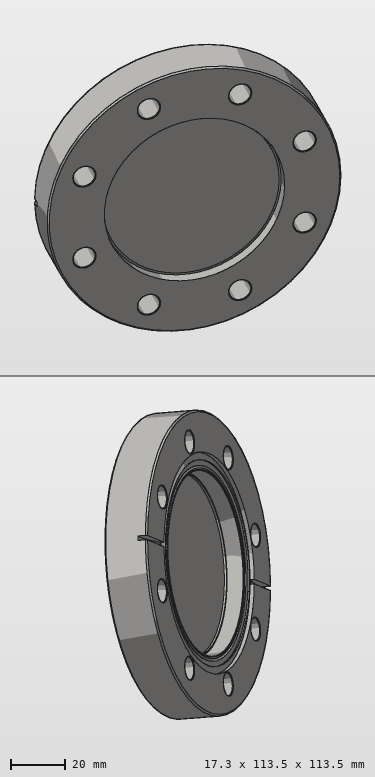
import cadquery as cq
import math


flange_diameter = 113.54
flange_radius = flange_diameter / 2
flange_thickness = 17.27
rim_chamfer = 0.65

bolt_count = 8
bolt_circle_radius = 46.05
bolt_hole_diameter = 8.4
bolt_hole_chamfer = 0.3
bolt_pitch_angle = 360 / bolt_count

recess_radius = 41.2
knife_tip_radius = 38.4
knife_tip_depth = 0.65
knife_slope_angle = 20
knife_flank_width = recess_radius - knife_tip_radius
recess_depth = knife_tip_depth + knife_flank_width * math.tan(math.radians(knife_slope_angle))
inner_face_depth = 1.25

groove_outer_radius = 36.35
groove_inner_radius = 35.4
groove_radius = (groove_outer_radius - groove_inner_radius) / 2

slot_width = 1.7
slot_depth = 3.8
slot_saw_radius = 33.0
slot_deepest_radius = 53.8

sleeve_front_depth = 1.5
sleeve_outer_radius = 34.8
sleeve_inner_radius = 34.5
sleeve_edge_chamfer = 0.15
shoulder_depth = 8.0
shoulder_inner_radius = 34.0

window_face_depth = 8.9
window_thickness = 4.0
window_back_depth = window_face_depth + window_thickness


def revolve_about_x(profile):
    """Revolve a closed profile, drawn as (depth, radius), about the X axis."""
    return profile.close().revolve(360, (0, 0, 0), (1, 0, 0))


def make_flange_body():
    profile = (
        cq.Workplane("XY")
        .moveTo(flange_thickness, sleeve_outer_radius)
        .lineTo(flange_thickness, flange_radius - rim_chamfer)
        .lineTo(flange_thickness - rim_chamfer, flange_radius)
        .lineTo(rim_chamfer, flange_radius)
        .lineTo(0, flange_radius - rim_chamfer)
        .lineTo(0, recess_radius)
        .lineTo(recess_depth, recess_radius)
        .lineTo(knife_tip_depth, knife_tip_radius)
        .lineTo(inner_face_depth, knife_tip_radius)
        .lineTo(inner_face_depth, groove_outer_radius)
        .threePointArc(
            (inner_face_depth + groove_radius, groove_inner_radius + groove_radius),
            (inner_face_depth, groove_inner_radius),
        )
        .lineTo(inner_face_depth, sleeve_outer_radius)
    )
    return revolve_about_x(profile)


def make_bolt_hole_cutter():
    """One bolt hole along X, chamfered at both faces, on the first bolt position."""
    hole_radius = bolt_hole_diameter / 2
    mouth_radius = hole_radius + bolt_hole_chamfer
    profile = (
        cq.Workplane("XY")
        .lineTo(0, mouth_radius)
        .lineTo(bolt_hole_chamfer, hole_radius)
        .lineTo(flange_thickness - bolt_hole_chamfer, hole_radius)
        .lineTo(flange_thickness, mouth_radius)
        .lineTo(flange_thickness, 0)
    )
    cutter = revolve_about_x(profile).translate((0, bolt_circle_radius, 0))
    return cutter.rotate((0, 0, 0), (1, 0, 0), bolt_pitch_angle / 2)


def make_slot_cutter(side):
    """A saw disc for one slot, kept outside the recess; side is +1 or -1 along Y."""
    saw = (
        cq.Workplane("XY")
        .center(slot_depth - slot_saw_radius, side * slot_deepest_radius)
        .circle(slot_saw_radius)
        .extrude(slot_width / 2, both=True)
    )
    recess_core = cq.Workplane("YZ").circle(recess_radius).extrude(flange_thickness)
    return saw.cut(recess_core)


def make_flange():
    flange = make_flange_body()
    bolt_hole = make_bolt_hole_cutter()
    for index in range(bolt_count):
        flange = flange.cut(bolt_hole.rotate((0, 0, 0), (1, 0, 0), index * bolt_pitch_angle))
    for side in (1, -1):
        flange = flange.cut(make_slot_cutter(side))
    return flange


def make_sleeve():
    """Thin tube with an inner shoulder that surrounds the window."""
    profile = (
        cq.Workplane("XY")
        .moveTo(sleeve_front_depth, sleeve_inner_radius)
        .lineTo(sleeve_front_depth, sleeve_outer_radius - sleeve_edge_chamfer)
        .lineTo(sleeve_front_depth + sleeve_edge_chamfer, sleeve_outer_radius)
        .lineTo(window_back_depth, sleeve_outer_radius)
        .lineTo(window_back_depth, shoulder_inner_radius)
        .lineTo(shoulder_depth, shoulder_inner_radius)
        .lineTo(shoulder_depth, sleeve_inner_radius)
    )
    return revolve_about_x(profile)


def make_window():
    return (
        cq.Workplane("YZ", origin=(window_face_depth, 0, 0))
        .circle(shoulder_inner_radius)
        .extrude(window_thickness)
    )


flange = make_flange()
sleeve = make_sleeve()
window = make_window()

result = cq.Compound.makeCompound([flange.val(), sleeve.val(), window.val()])